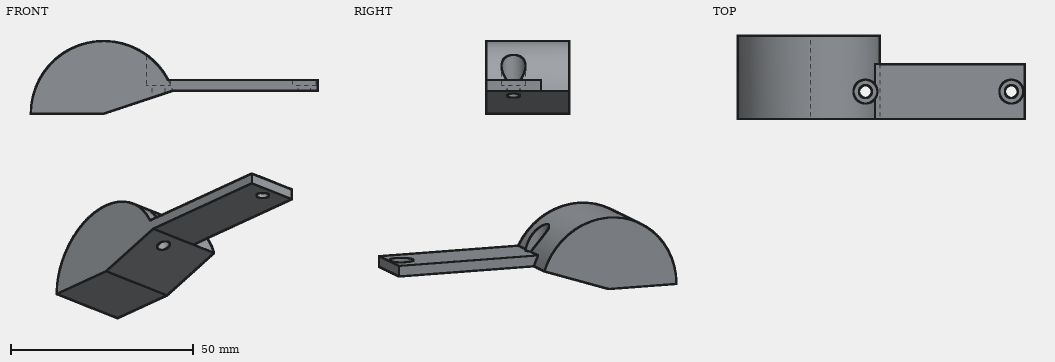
import cadquery as cq
import math

length = 78.6
drum_radius = 19.95
drum_width = 22.8
arm_width = 15.0
arm_bottom = 6.3
arm_thickness = 3.0
hole_diameter = 3.45
counterbore_diameter = 6.5
counterbore_depth = 1.5
hole_spacing = 39.9
end_hole_inset = 3.7

arm_top = arm_bottom + arm_thickness
seat_height = arm_top - counterbore_depth
drum_center = drum_radius
end_hole_x = length - end_hole_inset
hole_positions = [(end_hole_x - hole_spacing, arm_width / 2), (end_hole_x, arm_width / 2)]


def drum_x(height):
    """X of the right-hand side of the drum at a given height."""
    return drum_center + math.sqrt(drum_radius**2 - height**2)


def extrude_along_y(outline, width):
    """Extrude an XZ outline from Y = 0 towards +Y."""
    return outline.extrude(-width)


def make_drum():
    """Half-round drum whose underside slopes up to the arm."""
    outline = (
        cq.Workplane("XZ")
        .moveTo(0, 0)
        .lineTo(drum_center, 0)
        .lineTo(drum_x(arm_bottom), arm_bottom)
        .threePointArc((drum_center, drum_radius), (0, 0))
        .close()
    )
    return extrude_along_y(outline, drum_width)


def make_arm():
    """Flat arm, flush with the front face and rooted inside the drum."""
    outline = (
        cq.Workplane("XZ")
        .moveTo(drum_center, arm_bottom)
        .lineTo(length, arm_bottom)
        .lineTo(length, arm_top)
        .lineTo(drum_center, arm_top)
        .close()
    )
    return extrude_along_y(outline, arm_width)


def vertical_cutters(diameter, base_height):
    """Cylinders at both screw positions, rising from base_height past the drum top."""
    return (
        cq.Workplane("XY", origin=(0, 0, base_height))
        .pushPoints(hole_positions)
        .circle(diameter / 2)
        .extrude(drum_radius)
    )


result = make_drum().union(make_arm())
result = result.cut(vertical_cutters(hole_diameter, 0))
result = result.cut(vertical_cutters(counterbore_diameter, seat_height))